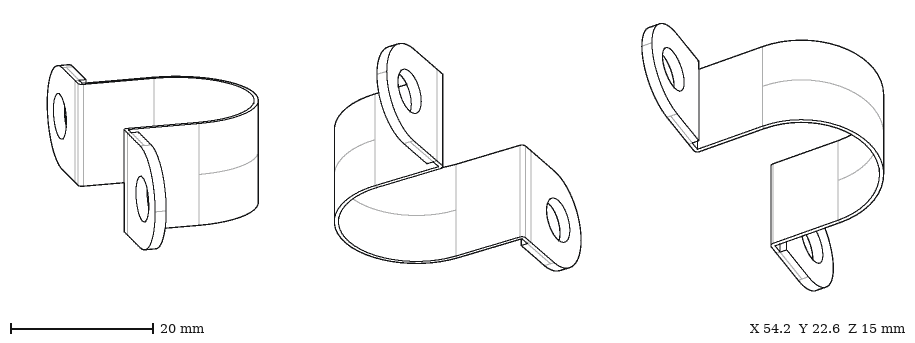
import cadquery as cq

length = 54.2
depth = 22.6
width = 15.0

thickness = 0.6
outer_radius = 11.6
inner_radius = outer_radius - thickness
foot_front = outer_radius - depth
foot_back = foot_front + thickness

pad_thickness = 1.6
pad_inner_x = 13.1
hole_diameter = 6.45
hole_x = 20.7
half_length = length / 2


def half_ring():
    """Half-round saddle of the strap."""
    ring = cq.Workplane("XY").circle(outer_radius).circle(inner_radius).extrude(width / 2, both=True)
    back_half = cq.Workplane("XY").box(length, depth, width, centered=(True, False, True))
    return ring.intersect(back_half)


def leg(side):
    """Straight leg with its foot sheet; the outside of the bend is rounded."""
    return (
        cq.Workplane("XY")
        .moveTo(side * inner_radius, 0)
        .lineTo(side * outer_radius, 0)
        .lineTo(side * outer_radius, foot_back)
        .lineTo(side * half_length, foot_back)
        .lineTo(side * half_length, foot_front)
        .lineTo(side * outer_radius, foot_front)
        .radiusArc((side * inner_radius, foot_back), side * thickness)
        .close()
        .extrude(width / 2, both=True)
    )


def pad(side):
    """Thick part of the foot, up to its straight inner edge."""
    pad_length = half_length - pad_inner_x
    return (
        cq.Workplane("XY")
        .center(side * (pad_inner_x + pad_length / 2), foot_front + pad_thickness / 2)
        .box(pad_length, pad_thickness, width)
    )


def rounded_outline():
    """Slot-shaped envelope that rounds both ends of the part."""
    return cq.Workplane("XZ").slot2D(length, width).extrude(depth, both=True)


def screw_holes():
    """Through holes in both feet."""
    return (
        cq.Workplane("XZ")
        .pushPoints([(-hole_x, 0), (hole_x, 0)])
        .circle(hole_diameter / 2)
        .extrude(depth, both=True)
    )


clamp = half_ring()
for side in (-1, 1):
    clamp = clamp.union(leg(side)).union(pad(side))

result = clamp.intersect(rounded_outline()).cut(screw_holes()).clean()